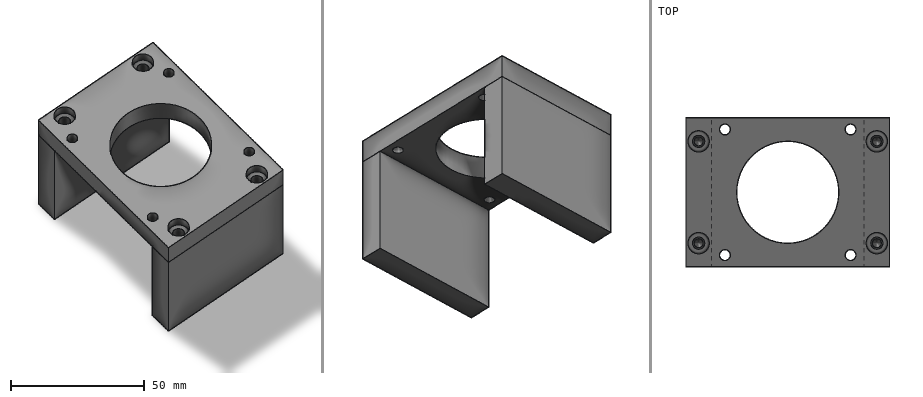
import cadquery as cq
import math

length = 76.2
depth = 55.85
height = 53.95
thickness = 9.5
leg_height = height - thickness

bore_diameter = 38.1

mount_spacing = 47.0
mount_diameter = 4.0

screw_spacing_x = length - thickness
screw_spacing_y = 38.1
counterbore_diameter = 8.0
counterbore_depth = 4.05
clearance_diameter = 4.6

drill_diameter = 3.35
drill_depth = 19.05
drill_point_angle = 118.0


def make_plate():
    """Top plate resting on the legs, with its bore and two hole patterns."""
    plate = cq.Workplane("XY").box(length, depth, thickness, centered=(True, True, False))
    plate = plate.translate((0, 0, leg_height))
    plate = plate.faces(">Z").workplane(origin=(0, 0, height)).hole(bore_diameter)
    plate = (
        plate.faces(">Z")
        .workplane(origin=(0, 0, height))
        .rarray(mount_spacing, mount_spacing, 2, 2)
        .hole(mount_diameter)
    )
    return (
        plate.faces(">Z")
        .workplane(origin=(0, 0, height))
        .rarray(screw_spacing_x, screw_spacing_y, 2, 2)
        .cboreHole(clearance_diameter, counterbore_diameter, counterbore_depth)
    )


def make_drill_cutter():
    """Cylinder with a conical point, running down from the top of a leg."""
    radius = drill_diameter / 2
    point_depth = radius / math.tan(math.radians(drill_point_angle / 2))
    return (
        cq.Workplane("XZ")
        .polyline([(0, 0), (radius, 0), (radius, -drill_depth), (0, -drill_depth - point_depth)])
        .close()
        .revolve(360, (0, 0, 0), (0, 1, 0))
    )


def make_leg(center_x):
    """Upright leg with two blind screw holes in its top face."""
    leg = cq.Workplane("XY").box(thickness, depth, leg_height, centered=(True, True, False))
    for side in (-1, 1):
        leg = leg.cut(make_drill_cutter().translate((0, side * screw_spacing_y / 2, leg_height)))
    return leg.translate((center_x, 0, 0))


plate = make_plate()
legs = [make_leg(side * screw_spacing_x / 2) for side in (-1, 1)]

result = cq.Compound.makeCompound([plate.val(), *[leg.val() for leg in legs]])